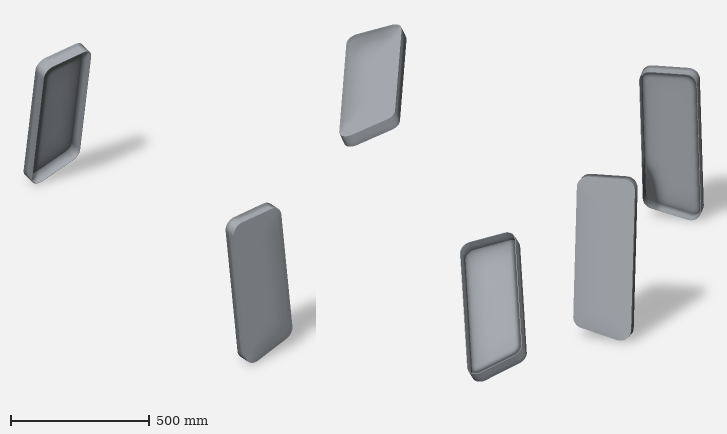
import cadquery as cq
import math

span = 1355.0
width = 214.0
length = 598.0
depth = 50.0
wall = 2.0
corner_radius = 40.0
tilt = 8.0
bottom_slope = 15.0

slope_angle = math.radians(bottom_slope)
front_corner = corner_radius * (1 - 1 / math.cos(slope_angle) - math.tan(slope_angle))
back_corner = front_corner + width * math.tan(slope_angle)

tilt_angle = math.radians(tilt)
tray_plane = cq.Plane(
    origin=(-span / 2, 0, depth * math.sin(tilt_angle)),
    xDir=(0, 1, 0),
    normal=(math.cos(tilt_angle), 0, -math.sin(tilt_angle)),
)


def make_blank():
    """Solid tray shape with a sloping lower edge and four rounded corners."""
    outline = [
        (-width / 2, front_corner),
        (width / 2, back_corner),
        (width / 2, length),
        (-width / 2, length),
    ]
    blank = cq.Workplane(tray_plane).polyline(outline).close().extrude(depth)
    corner_edges = cq.selectors.ParallelDirSelector(tray_plane.zDir)
    return blank.edges(corner_edges).fillet(corner_radius)


def make_left_tray():
    """Thin-walled tray whose open side faces the middle."""
    blank = make_blank()
    open_face = cq.selectors.DirectionMinMaxSelector(tray_plane.zDir, True)
    return blank.faces(open_face).shell(-wall)


def make_tray(side):
    """Tray on the left (side = -1) or its mirror image on the right (side = 1)."""
    tray = make_left_tray()
    if side > 0:
        tray = tray.mirror("YZ")
    return tray


trays = [make_tray(side) for side in (-1, 1)]

result = cq.Compound.makeCompound([tray.val() for tray in trays])